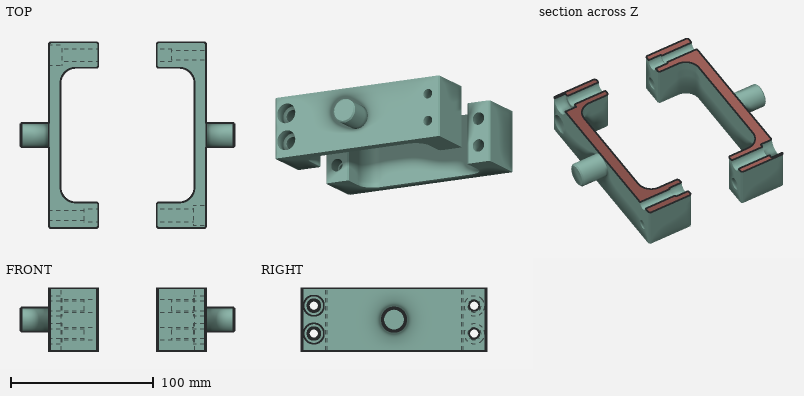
import cadquery as cq

overall_length = 150.0
bracket_width = 130.0
bracket_height = 44.0

back_x = 55.0
tip_x = 20.4
wall_thickness = 8.2
arm_width = 18.0
inner_fillet = 10.5
edge_chamfer = 1.0

pin_diameter = 17.1
pin_chamfer = 1.0

hole_y = 56.1
hole_z = 9.8
clearance_diameter = 9.0
counterbore_diameter = 14.2
counterbore_depth = 9.0
pilot_diameter = 6.9
tip_bore_depth = 10.0

half_width = bracket_width / 2
inner_half_width = half_width - arm_width
arm_length = back_x - tip_x
pin_length = overall_length / 2 - back_x


def bracket_body():
    """C-shaped bar on the -X side, with its arms pointing toward +X."""
    bar = cq.Workplane("XY").box(arm_length, bracket_width, bracket_height)
    bar = bar.translate((-(back_x + tip_x) / 2, 0, 0))
    bar = bar.edges("|Z").chamfer(edge_chamfer)
    pocket_length = arm_length - wall_thickness
    pocket = cq.Workplane("XY").box(pocket_length, 2 * inner_half_width, bracket_height)
    pocket = pocket.translate((-tip_x - pocket_length / 2, 0, 0))
    pocket = pocket.edges("|Z and <X").fillet(inner_fillet)
    body = bar.cut(pocket)
    tip_corners = cq.selectors.BoxSelector(
        (-tip_x - edge_chamfer, -inner_half_width - edge_chamfer, -bracket_height),
        (-tip_x + edge_chamfer, inner_half_width + edge_chamfer, bracket_height),
    )
    return body.edges("|Z").edges(tip_corners).chamfer(edge_chamfer)


def trunnion():
    """Round pin standing on the outer face, chamfered at its free end."""
    pin = cq.Workplane("YZ", origin=(-back_x, 0, 0)).circle(pin_diameter / 2).extrude(-pin_length)
    return pin.faces("<X").chamfer(pin_chamfer)


def hole_pair(y, start_x, diameter, depth):
    """Two round cutters along +X, one above the other."""
    plane = cq.Workplane("YZ", origin=(start_x, y, 0))
    return plane.pushPoints([(0, -hole_z), (0, hole_z)]).circle(diameter / 2).extrude(depth)


def bracket():
    """Bracket with counterbored holes in the +Y arm and stepped pilot holes in the -Y arm."""
    body = bracket_body().union(trunnion())
    body = body.cut(hole_pair(hole_y, -back_x, clearance_diameter, arm_length))
    body = body.cut(hole_pair(hole_y, -back_x, counterbore_diameter, counterbore_depth))
    body = body.cut(hole_pair(-hole_y, -back_x, pilot_diameter, arm_length))
    return body.cut(hole_pair(-hole_y, -tip_x - tip_bore_depth, clearance_diameter, tip_bore_depth))


brackets = []
for turn in (0, 180):
    brackets.append(bracket().rotate((0, 0, 0), (0, 0, 1), turn).val())

result = cq.Compound.makeCompound(brackets)